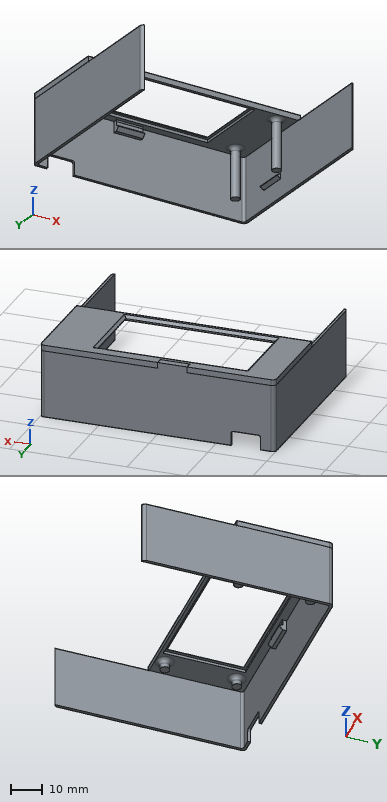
import cadquery as cq

WIDTH = 80.0
LENGTH = 65.0
LID_THICKNESS = 2.0
WALL_HEIGHT = 23.0
LID_LENGTH = 33.0
WALL = 1.0
OUTER_RADIUS = 1.4
INNER_RADIUS = 1.0

WINDOW_X = 10.7
WINDOW_WIDTH = 52.6
WINDOW_BACK = 3.9
WINDOW_LENGTH = 27.9
WINDOW_BEVEL = 1.0

POST_DIAMETER = 3.1
POST_BASE_DIAMETER = 6.0
POST_ROWS = (-5.3, -29.8)
SHORT_POST_X = 6.6
SHORT_POST_LENGTH = 3.0
LONG_POST_X = 73.0
LONG_POST_LENGTH = 18.0

LATCH_X = 30.0
LATCH_WIDTH = 10.0
LATCH_DEPTH = 2.5
LATCH_STEM_DEPTH = 2.2
LATCH_NOSE_DEPTH = 3.5
LATCH_FLARE_DROP = 0.6
LATCH_LEDGE_DROP = 1.8
LATCH_NOSE_DROP = 2.7
LATCH_DROP = 4.0

NOTCH_X = 5.0
NOTCH_WIDTH = 10.0
NOTCH_HEIGHT = 5.0
NOTCH_RADIUS = 0.7

RIDGE_CENTER_Y = sum(POST_ROWS) / 2
RIDGE_LENGTH = 10.0
RIDGE_Z = 7.6
RIDGE_HEIGHT = 2.0
RIDGE_DEPTH = 1.4


def corner_box(x, y_back, z, width, length, height):
    """Box given by its left, back, bottom corner; it extends toward -Y."""
    return cq.Workplane("XY").box(width, length, height, centered=False).translate((x, y_back - length, z))


def make_latch():
    """Tab that passes up through the lid and carries a snap nose below it."""
    profile = [
        (0, WALL_HEIGHT + LID_THICKNESS),
        (-LATCH_DEPTH, WALL_HEIGHT + LID_THICKNESS),
        (-LATCH_DEPTH, WALL_HEIGHT),
        (-LATCH_STEM_DEPTH, WALL_HEIGHT - LATCH_FLARE_DROP),
        (-LATCH_STEM_DEPTH, WALL_HEIGHT - LATCH_LEDGE_DROP),
        (-LATCH_NOSE_DEPTH, WALL_HEIGHT - LATCH_NOSE_DROP),
        (-LATCH_STEM_DEPTH, WALL_HEIGHT - LATCH_DROP),
        (0, WALL_HEIGHT - LATCH_DROP),
    ]
    return cq.Workplane("YZ", origin=(LATCH_X, 0, 0)).polyline(profile).close().extrude(LATCH_WIDTH)


def make_notch():
    """Opening at the foot of the back wall, with rounded upper corners."""
    notch = corner_box(NOTCH_X, 0, 0, NOTCH_WIDTH, WALL, NOTCH_HEIGHT)
    return notch.edges("|Y and >Z").fillet(NOTCH_RADIUS)


def make_ridge():
    """Triangular ridge, rooted in the inner face of the +X wall."""
    root_x = WIDTH - WALL
    profile = [
        (root_x, RIDGE_Z - RIDGE_HEIGHT / 2),
        (root_x - RIDGE_DEPTH, RIDGE_Z),
        (root_x, RIDGE_Z + RIDGE_HEIGHT / 2),
    ]
    start_y = RIDGE_CENTER_Y + RIDGE_LENGTH / 2
    return cq.Workplane("XZ", origin=(0, start_y, 0)).polyline(profile).close().extrude(RIDGE_LENGTH)


def make_frame():
    """U-shaped wall: a rounded tube whose -Y wall is left open."""
    outer = corner_box(0, 0, 0, WIDTH, LENGTH, WALL_HEIGHT).edges("|Z").fillet(OUTER_RADIUS)
    inner = corner_box(WALL, -WALL, 0, WIDTH - 2 * WALL, LENGTH, WALL_HEIGHT)
    inner = inner.edges("|Z and >Y").fillet(INNER_RADIUS)
    walls = outer.cut(inner).cut(make_notch())
    return walls.union(make_latch()).union(make_ridge())


def make_window():
    """Opening whose bevel ends in a thin lip, with a recess of the full window size below the lip."""
    center_x = WINDOW_X + WINDOW_WIDTH / 2
    center_y = -WINDOW_BACK - WINDOW_LENGTH / 2
    lip_z = WALL_HEIGHT + LID_THICKNESS - WINDOW_BEVEL
    bevel = (
        cq.Workplane("XY", origin=(center_x, center_y, lip_z))
        .rect(WINDOW_WIDTH - 2 * WINDOW_BEVEL, WINDOW_LENGTH - 2 * WINDOW_BEVEL)
        .workplane(offset=WINDOW_BEVEL)
        .rect(WINDOW_WIDTH, WINDOW_LENGTH)
        .loft(ruled=True)
    )
    recess_height = lip_z - WALL_HEIGHT
    recess = corner_box(WINDOW_X, -WINDOW_BACK, WALL_HEIGHT, WINDOW_WIDTH, WINDOW_LENGTH, recess_height)
    return bevel.union(recess)


def make_post(x, y, length):
    """Round post hanging from the lid, with a concave flare at its root."""
    radius = POST_DIAMETER / 2
    base_radius = POST_BASE_DIAMETER / 2
    flare = base_radius - radius
    mid_offset = flare * (1 - 0.5 ** 0.5)
    half = (
        cq.Workplane("XZ")
        .lineTo(base_radius, 0)
        .threePointArc((radius + mid_offset, -mid_offset), (radius, -flare))
        .lineTo(radius, -length)
        .lineTo(0, -length)
        .close()
    )
    return half.revolve(360, (0, 0, 0), (0, 1, 0)).translate((x, y, WALL_HEIGHT))


def make_lid():
    """Flat lid with its window, latch recess and four posts."""
    lid = corner_box(0, 0, WALL_HEIGHT, WIDTH, LID_LENGTH, LID_THICKNESS)
    lid = lid.edges("|Z and >Y").fillet(OUTER_RADIUS)
    lid = lid.cut(make_window())
    lid = lid.cut(corner_box(LATCH_X, 0, WALL_HEIGHT, LATCH_WIDTH, LATCH_DEPTH, LID_THICKNESS))
    for y in POST_ROWS:
        lid = lid.union(make_post(SHORT_POST_X, y, SHORT_POST_LENGTH))
        lid = lid.union(make_post(LONG_POST_X, y, LONG_POST_LENGTH))
    return lid


frame = make_frame()
lid = make_lid()
result = cq.Compound.makeCompound([frame.val(), lid.val()])